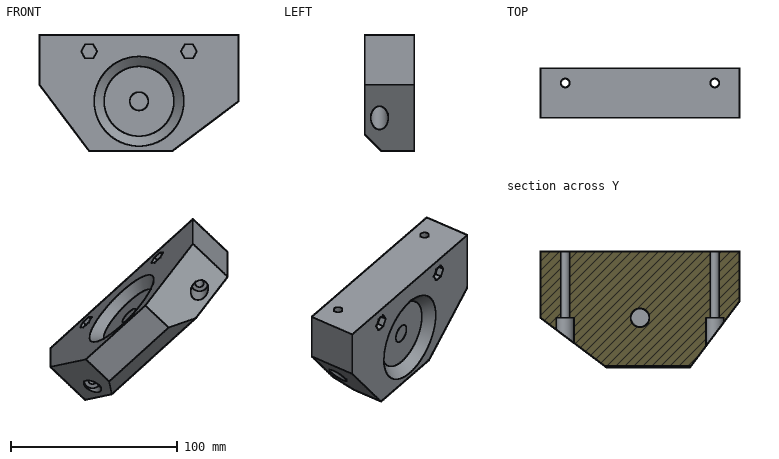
import cadquery as cq

length = 120.0
depth = 30.0
height = 70.0

left_corner_run = 30.0
left_corner_rise = 40.0
right_corner_run = 40.0
right_corner_rise = 30.0

back_chamfer = 10.0

recess_top_diameter = 54.0
recess_floor_diameter = 42.0
recess_depth = (recess_top_diameter - recess_floor_diameter) / 2
recess_z = 30.0

back_bore_diameter = 11.1
skin_thickness = 0.4

hex_across_corners = 9.7
hex_depth = 4.0
hex_offset_x = 30.0
hex_z = 60.0

screw_diameter = 5.2
head_diameter = 10.5
head_seat_z = 30.0
screw_offset_x = 45.0
screw_y = depth - 9.0


def make_body():
    """Block with two sloped lower corners and a bevelled bottom back edge."""
    half = length / 2
    block = (
        cq.Workplane("XZ")
        .moveTo(-half, height)
        .lineTo(half, height)
        .lineTo(half, right_corner_rise)
        .lineTo(half - right_corner_run, 0)
        .lineTo(-half + left_corner_run, 0)
        .lineTo(-half, left_corner_rise)
        .close()
        .extrude(-depth)
    )
    bevel = (
        cq.Workplane("YZ", origin=(-half, 0, 0))
        .moveTo(depth, 0)
        .lineTo(depth, back_chamfer)
        .lineTo(depth - back_chamfer, 0)
        .close()
        .extrude(length)
    )
    return block.cut(bevel)


def make_recess():
    """Truncated cone narrowing from the front face to the recess floor."""
    cone = cq.Solid.makeCone(
        recess_top_diameter / 2,
        recess_floor_diameter / 2,
        recess_depth,
        pnt=cq.Vector(0, 0, recess_z),
        dir=cq.Vector(0, 1, 0),
    )
    return cq.Workplane(obj=cone)


def make_back_bore():
    """Cylinder from just behind the recess floor out through the back face."""
    bore_start = recess_depth + skin_thickness
    return (
        cq.Workplane("XZ", origin=(0, bore_start, recess_z))
        .circle(back_bore_diameter / 2)
        .extrude(-(depth - bore_start))
    )


def make_hex_pockets():
    """Pair of hexagonal prisms with corners pointing sideways."""
    return (
        cq.Workplane("XZ")
        .pushPoints([(-hex_offset_x, hex_z), (hex_offset_x, hex_z)])
        .polygon(6, hex_across_corners)
        .extrude(-hex_depth)
    )


def make_vertical_bores(diameter, top_z):
    """Pair of vertical cylinders from the bottom plane up to top_z."""
    return (
        cq.Workplane("XY")
        .pushPoints([(-screw_offset_x, screw_y), (screw_offset_x, screw_y)])
        .circle(diameter / 2)
        .extrude(top_z)
    )


result = (
    make_body()
    .cut(make_recess())
    .cut(make_back_bore())
    .cut(make_hex_pockets())
    .cut(make_vertical_bores(screw_diameter, height))
    .cut(make_vertical_bores(head_diameter, head_seat_z))
)